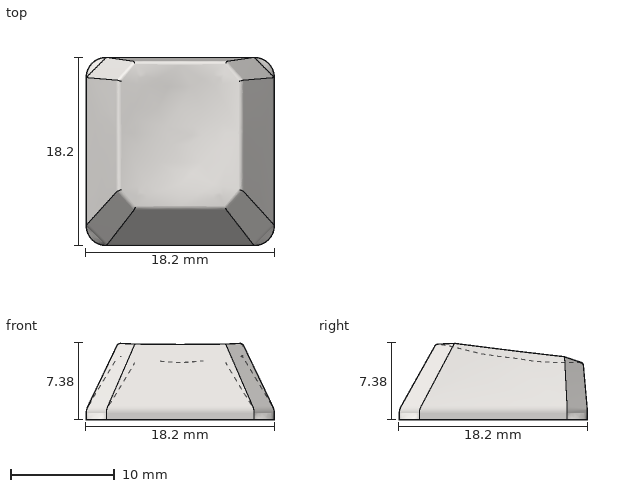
import cadquery as cq
import math

BASE_WIDTH = 18.16
HALF_BASE = BASE_WIDTH / 2
CORNER_SETBACK = 1.95
HALF_FLAT = HALF_BASE - CORNER_SETBACK
SKIRT_HEIGHT = 0.62

SHOULDER_HEIGHT = 0.97
BACK_REACH = 0.1

FRONT_EDGE = (4.38, -5.54, 7.3)
FRONT_CORNER = (5.98, -3.71, 7.44)
BACK_CORNER = (5.98, 6.87, 6.16)
BACK_EDGE = (4.38, 8.68, 5.47)
RIM_RADIUS = 0.4

DISH_POINTS = [(0, -2.0, 6.55), (0, 2.26, 5.88), (0, 5.8, 5.52)]

POSITION_TOLERANCE = 1e-3


def octagon(stations):
    """Eight points, counter-clockwise from the front edge, mirrored about the YZ plane."""
    right = [cq.Vector(*station) for station in stations]
    left = [cq.Vector(-point.x, point.y, point.z) for point in reversed(right)]
    return right + left


def skirt_octagon(front_z, back_z):
    """Chamfered square of the skirt; only the back edge lies at back_z."""
    return octagon([
        (HALF_FLAT, -HALF_BASE, front_z),
        (HALF_BASE, -HALF_FLAT, front_z),
        (HALF_BASE, HALF_FLAT, front_z),
        (HALF_FLAT, HALF_BASE, back_z),
    ])


def point_at_height(start, end, z):
    """Point of the line from start to end at height z."""
    return start + (end - start) * ((z - start.z) / (end.z - start.z))


def closed_pairs(items):
    return list(zip(items, items[1:] + items[:1]))


def edge_loop(points):
    """Straight edges that join the points into a closed loop."""
    return [cq.Edge.makeLine(start, end) for start, end in closed_pairs(points)]


def ruled_walls(lower_edges, upper_edges):
    return [cq.Face.makeRuledSurface(low, high) for low, high in zip(lower_edges, upper_edges)]


def solid_from_faces(faces):
    return cq.Solid.makeSolid(cq.Shell.makeShell(faces)).fix()


def round_rim(body, rim):
    """Round the edges of the body that coincide with the rim loop."""
    rim_centers = [edge.Center() for edge in rim]
    rim_edges = [
        edge for edge in body.Edges()
        if any((edge.Center() - center).Length < POSITION_TOLERANCE for center in rim_centers)
    ]
    return body.fillet(RIM_RADIUS, rim_edges)


def make_body():
    """Octagonal skirt, curved shoulder, sloping walls and dished top with a rounded rim."""
    bottom_points = skirt_octagon(0, 0)
    skirt_points = skirt_octagon(SKIRT_HEIGHT, SHOULDER_HEIGHT - BACK_REACH)
    shoulder_points = skirt_octagon(SHOULDER_HEIGHT, SHOULDER_HEIGHT)
    top_points = octagon([FRONT_EDGE, FRONT_CORNER, BACK_CORNER, BACK_EDGE])
    wall_points = [
        point_at_height(shoulder, top, 2 * SHOULDER_HEIGHT - skirt.z)
        for skirt, shoulder, top in zip(skirt_points, shoulder_points, top_points)
    ]

    bottom = edge_loop(bottom_points)
    skirt = edge_loop(skirt_points)
    wall = edge_loop(wall_points)
    rim = edge_loop(top_points)
    shoulder_curves = [
        cq.Edge.makeBezier(list(poles)) for poles in zip(skirt_points, shoulder_points, wall_points)
    ]

    faces = [cq.Face.makeFromWires(cq.Wire.assembleEdges(bottom))]
    faces += ruled_walls(bottom, skirt)
    faces += [cq.Face.makeRuledSurface(first, second) for first, second in closed_pairs(shoulder_curves)]
    faces += ruled_walls(wall, rim)
    faces.append(cq.Face.makeNSidedSurface(rim, [cq.Vector(*point) for point in DISH_POINTS]))
    return round_rim(solid_from_faces(faces), rim)


def make_skirt_corner():
    """Front right corner that blends from a round at the bottom to the flat chamfer of the skirt."""
    arc_center = cq.Vector(HALF_FLAT, -HALF_FLAT, 0)
    diagonal = CORNER_SETBACK / math.sqrt(2)
    arc_start = cq.Vector(HALF_FLAT, -HALF_BASE, 0)
    arc_middle = arc_center + cq.Vector(diagonal, -diagonal, 0)
    arc_end = cq.Vector(HALF_BASE, -HALF_FLAT, 0)
    rise = cq.Vector(0, 0, SKIRT_HEIGHT)

    arc = cq.Edge.makeThreePointArc(arc_start, arc_middle, arc_end)
    chamfer = cq.Edge.makeLine(arc_start + rise, arc_end + rise)
    inner_corners = [arc_start, arc_end, arc_end + rise, arc_start + rise]
    faces = [
        cq.Face.makeFromWires(cq.Wire.makePolygon(inner_corners, close=True)),
        cq.Face.makeFromWires(cq.Wire.assembleEdges([arc, cq.Edge.makeLine(arc_end, arc_start)])),
        cq.Face.makeRuledSurface(arc, chamfer),
    ]
    return solid_from_faces(faces)


def add_skirt_corners(body):
    """Join the blended corner to all four corners of the skirt."""
    corner = make_skirt_corner()
    for quarter in range(4):
        turned = corner.rotate((0, 0, 0), (0, 0, 1), 90 * quarter)
        body = body.union(cq.Workplane(obj=turned))
    return body


result = add_skirt_corners(cq.Workplane(obj=make_body())).solids()